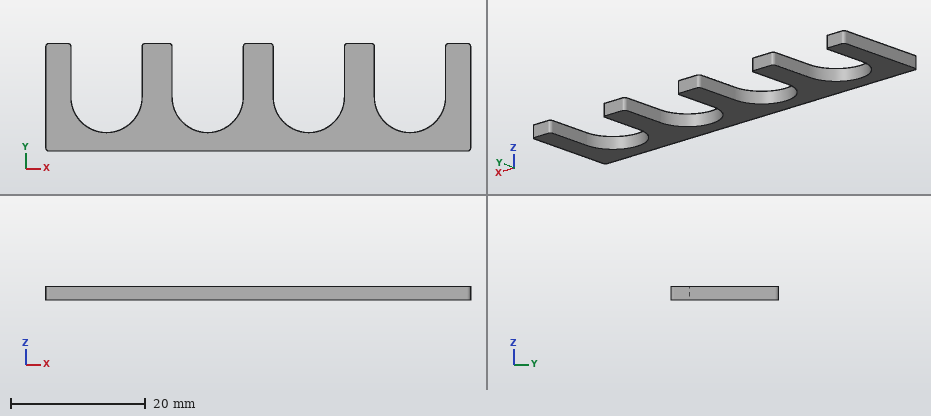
import cadquery as cq

length = 63.0
depth = 16.0
thickness = 2.0
corner_radius = 0.5

slot_count = 4
slot_pitch = 15.0
slot_width = 10.5
slot_floor = 2.8

slot_radius = slot_width / 2
slot_center_y = -depth / 2 + slot_floor + slot_radius
slot_straight = depth / 2 - slot_center_y


def make_slot(center_x):
    """Cutter with a half-round end and straight walls reaching the +Y edge."""
    round_end = (
        cq.Workplane("XY")
        .center(center_x, slot_center_y)
        .circle(slot_radius)
        .extrude(thickness)
    )
    straight_walls = (
        cq.Workplane("XY")
        .center(center_x, slot_center_y + slot_straight / 2)
        .rect(slot_width, slot_straight)
        .extrude(thickness)
    )
    return round_end.union(straight_walls)


plate = (
    cq.Workplane("XY")
    .box(length, depth, thickness, centered=(True, True, False))
    .edges("|Z")
    .fillet(corner_radius)
)

for index in range(slot_count):
    slot_x = (index - (slot_count - 1) / 2) * slot_pitch
    plate = plate.cut(make_slot(slot_x))

tip_zone = cq.selectors.BoxSelector(
    (-length / 2 + 2 * corner_radius, depth / 2 - corner_radius / 2, -thickness),
    (length / 2 - 2 * corner_radius, depth / 2 + corner_radius / 2, 2 * thickness),
)
result = plate.edges("|Z").edges(tip_zone).fillet(corner_radius)